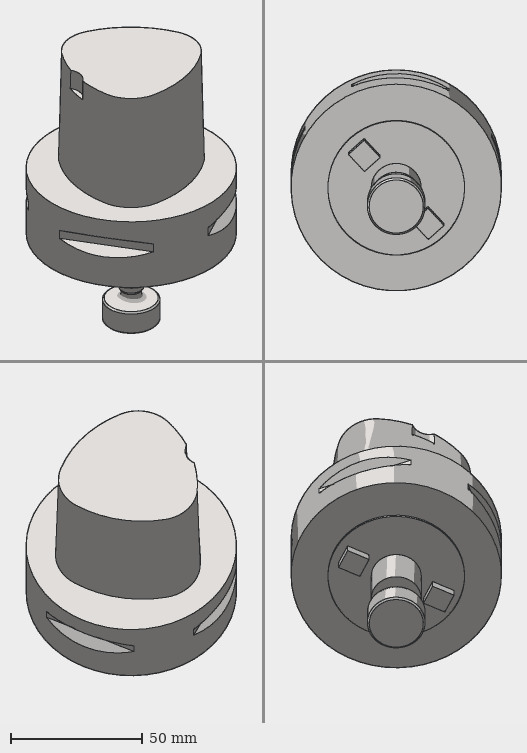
import cadquery as cq
import math

SHANK_TOP = 115.5
FLANGE_TOP = 67.7
FLANGE_BOTTOM = 38.5
PLATE_BOTTOM = 37.4
LUG_BOTTOM = 33.6
STEM_BOTTOM = 19.6
NECK_BOTTOM = 14.5
GROOVE_TOP = 13.4
GROOVE_BOTTOM = 11.8
HEAD_TOP = 9.7

FLANGE_RADIUS = 80.0 / 2
PLATE_RADIUS = 52.0 / 2
STEM_RADIUS = 19.0 / 2
NECK_RADIUS = 9.5 / 2
GROOVE_RADIUS = 7.9 / 2
HEAD_RADIUS = 22.0 / 2
HEAD_CHAMFER = 0.7

LOBE_COUNT = 3
LOBE_REACH = 29.6
LOBE_RADIUS = 16.2
SIDE_REACH = 25.2
SHANK_TAPER = 1.2

NOTCH_RADIUS = 6.9
NOTCH_FLOOR_Y = -22.1
NOTCH_DEPTH = 8.1

SLOT_COUNT = 4
SLOT_FIRST_ANGLE = 45.0
SLOT_FLOOR_OFFSET = 35.5
SLOT_MID_HEIGHT = 55.5
SLOT_FLOOR_HEIGHT = 3.5
SLOT_FLARE = 2.5

LUG_INNER_X = 13.4
LUG_OUTER_X = 22.4
LUG_WIDTH = 8.1


def polar(radius, degrees):
    """Point at the given radius and angle about the Z axis."""
    angle = math.radians(degrees)
    return radius * math.cos(angle), radius * math.sin(angle)


def turned_body():
    """Flange, plate, stem and pull stud revolved about Z."""
    fillet = GROOVE_BOTTOM - HEAD_TOP
    fillet_middle = (
        GROOVE_RADIUS + fillet * (1 - math.sqrt(0.5)),
        HEAD_TOP + fillet * (1 - math.sqrt(0.5)),
    )
    return (
        cq.Workplane("XZ")
        .moveTo(0, 0)
        .lineTo(HEAD_RADIUS - HEAD_CHAMFER, 0)
        .lineTo(HEAD_RADIUS, HEAD_CHAMFER)
        .lineTo(HEAD_RADIUS, HEAD_TOP - HEAD_CHAMFER)
        .lineTo(HEAD_RADIUS - HEAD_CHAMFER, HEAD_TOP)
        .lineTo(GROOVE_RADIUS + fillet, HEAD_TOP)
        .threePointArc(fillet_middle, (GROOVE_RADIUS, GROOVE_BOTTOM))
        .lineTo(GROOVE_RADIUS, GROOVE_TOP)
        .lineTo(NECK_RADIUS, NECK_BOTTOM)
        .lineTo(NECK_RADIUS, STEM_BOTTOM)
        .lineTo(STEM_RADIUS, STEM_BOTTOM)
        .lineTo(STEM_RADIUS, PLATE_BOTTOM)
        .lineTo(PLATE_RADIUS, PLATE_BOTTOM)
        .lineTo(PLATE_RADIUS, FLANGE_BOTTOM)
        .lineTo(FLANGE_RADIUS, FLANGE_BOTTOM)
        .lineTo(FLANGE_RADIUS, FLANGE_TOP)
        .lineTo(0, FLANGE_TOP)
        .close()
        .revolve(360, (0, 0), (0, 1))
    )


def lobed_outline(plane, inset):
    """Closed three-lobed outline, offset inwards by inset; one lobe points to +Y."""
    lobe_center = LOBE_REACH - LOBE_RADIUS
    half_spread = lobe_center * math.sin(math.pi / LOBE_COUNT)
    rise = SIDE_REACH - lobe_center * math.cos(math.pi / LOBE_COUNT)
    side_radius = (half_spread**2 + rise**2 - LOBE_RADIUS**2) / (2 * (rise - LOBE_RADIUS))

    side_center = SIDE_REACH - side_radius
    side_angle = math.asin(half_spread / (side_radius - LOBE_RADIUS))
    join_across = (side_radius - inset) * math.sin(side_angle)
    join_out = side_center + (side_radius - inset) * math.cos(side_angle)
    join_distance = math.hypot(join_across, join_out)
    join_angle = math.degrees(math.atan2(join_across, join_out))

    pitch = 360 / LOBE_COUNT
    side_angles = [-90 + i * pitch for i in range(LOBE_COUNT)]
    outline = plane.moveTo(*polar(join_distance, side_angles[0] - join_angle))
    for angle in side_angles:
        outline = outline.threePointArc(
            polar(SIDE_REACH - inset, angle),
            polar(join_distance, angle + join_angle),
        )
        outline = outline.threePointArc(
            polar(LOBE_REACH - inset, angle + pitch / 2),
            polar(join_distance, angle + pitch - join_angle),
        )
    return outline.close()


def shank():
    base = lobed_outline(cq.Workplane("XY").workplane(offset=FLANGE_TOP), 0)
    top_plane = base.workplane(offset=SHANK_TOP - FLANGE_TOP)
    return lobed_outline(top_plane, SHANK_TAPER).loft(ruled=True)


def notch():
    return (
        cq.Workplane("XY")
        .workplane(offset=SHANK_TOP - NOTCH_DEPTH)
        .center(0, NOTCH_FLOOR_Y - NOTCH_RADIUS)
        .circle(NOTCH_RADIUS)
        .extrude(NOTCH_DEPTH)
    )


def gripper_slot(angle):
    """Flat-floored slot whose upper and lower walls flare outwards."""
    floor_half = SLOT_FLOOR_HEIGHT / 2
    mouth_half = floor_half + SLOT_FLARE
    return (
        cq.Workplane("XZ")
        .polyline([
            (SLOT_FLOOR_OFFSET, SLOT_MID_HEIGHT - floor_half),
            (FLANGE_RADIUS, SLOT_MID_HEIGHT - mouth_half),
            (FLANGE_RADIUS, SLOT_MID_HEIGHT + mouth_half),
            (SLOT_FLOOR_OFFSET, SLOT_MID_HEIGHT + floor_half),
        ])
        .close()
        .extrude(FLANGE_RADIUS, both=True)
        .rotate((0, 0, 0), (0, 0, 1), angle)
    )


def drive_lug(side):
    """Rectangular lug on the +X (side = 1) or -X (side = -1) half of the plate."""
    return (
        cq.Workplane("XY")
        .workplane(offset=LUG_BOTTOM)
        .center(side * (LUG_INNER_X + LUG_OUTER_X) / 2, 0)
        .rect(LUG_OUTER_X - LUG_INNER_X, LUG_WIDTH)
        .extrude(FLANGE_BOTTOM - LUG_BOTTOM)
    )


result = turned_body().union(shank()).cut(notch())
for slot_index in range(SLOT_COUNT):
    result = result.cut(gripper_slot(SLOT_FIRST_ANGLE + slot_index * 360 / SLOT_COUNT))
for lug_side in (-1, 1):
    result = result.union(drive_lug(lug_side))